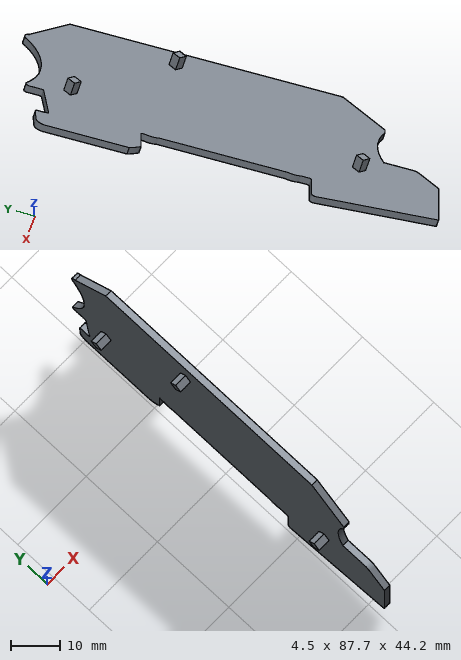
import cadquery as cq

length = 87.7
height = 44.2
plate_thickness = 1.6
peg_length = 2.9
peg_diagonal = 2.8

top_front_y = 20.35
top_back_y = 78.2
front_nose_y = 11.4
back_nose_slope_y = 86.8
front_nose_z = height - (top_front_y - front_nose_y)
back_nose_slope_z = height - (back_nose_slope_y - top_back_y)

recess_tip_y = 87.3
recess_top_z = 33.4
recess_bottom_z = 15.6
recess_deep_y = 84.2
recess_mid_z = (recess_top_z + recess_bottom_z) / 2
upper_tip_z = 34.5
lower_tip_y = 87.5
lower_tip_z = 14.9

hook_top_z = 14.4
hook_bottom_z = 5.3
hook_top_y = 83.8
hook_bottom_y = 82.6
foot_top_y = 85.5
foot_bottom_y = 85.3
foot_round_start_y = 65.6
foot_round_mid_y = 64.3
foot_round_mid_z = 0.8
foot_round_end_z = 1.75
foot_corner_radius = 1.9

rail_front_y = 27.0
rail_back_y = 63.1
rail_z = 7.2
bump_width = 2.8
bump_drop = 0.3
back_bump_y = 60.7
front_bump_y = 30.6

front_foot_inner_z = 0.2
front_foot_outer_z = 4.1
front_foot_side_z = 17.0
ledge_z = 21.8
ledge_outer_y = ledge_z - front_foot_side_z
ledge_inner_y = 11.7
ledge_corner_radius = 2.2
front_foot_inner_radius = 0.9

front_recess_top_z = 34.1
front_recess_deep_y = 13.0
front_recess_mid_z = 27.4

small_radius = 0.4

peg_positions = [(55.8, 38.4), (78.1, 16.5), (16.9, 16.5)]


def add_bump(outline, center_y):
    """Continue the rail ceiling toward -Y with one shallow rounded bump."""
    back_y = center_y + bump_width / 2
    front_y = center_y - bump_width / 2
    return (
        outline.lineTo(back_y, rail_z)
        .threePointArc((center_y, rail_z - bump_drop), (front_y, rail_z))
    )


def round_corner(body, y, z, radius):
    """Round the plate edge that runs along X through (y, z)."""
    corner = cq.selectors.NearestToPointSelector((plate_thickness / 2, y, z))
    return body.edges("|X").edges(corner).fillet(radius)


def make_plate():
    outline = (
        cq.Workplane("YZ")
        .moveTo(top_front_y, height)
        .lineTo(top_back_y, height)
        .lineTo(back_nose_slope_y, back_nose_slope_z)
        .threePointArc((length, upper_tip_z), (recess_tip_y, recess_top_z))
        .threePointArc((recess_deep_y, recess_mid_z), (recess_tip_y, recess_bottom_z))
        .threePointArc((lower_tip_y, lower_tip_z), (back_nose_slope_y, hook_top_z))
        .lineTo(hook_top_y, hook_top_z)
        .lineTo(hook_bottom_y, hook_bottom_z)
        .lineTo(foot_top_y, hook_bottom_z)
        .lineTo(foot_bottom_y, 0)
        .lineTo(foot_round_start_y, 0)
        .threePointArc((foot_round_mid_y, foot_round_mid_z), (rail_back_y, foot_round_end_z))
        .lineTo(rail_back_y, rail_z)
    )
    outline = add_bump(outline, back_bump_y)
    outline = add_bump(outline, front_bump_y)
    outline = (
        outline.lineTo(rail_front_y, rail_z)
        .lineTo(rail_front_y, front_foot_inner_z)
        .lineTo(0, front_foot_outer_z)
        .lineTo(0, front_foot_side_z)
        .lineTo(ledge_outer_y, ledge_z)
        .lineTo(ledge_inner_y, ledge_z)
        .threePointArc(
            (front_recess_deep_y, front_recess_mid_z),
            (front_nose_y, front_recess_top_z),
        )
        .lineTo(front_nose_y, front_nose_z)
        .close()
    )
    plate = outline.extrude(plate_thickness)

    rounded_corners = [
        (hook_top_y, hook_top_z, small_radius),
        (hook_bottom_y, hook_bottom_z, small_radius),
        (foot_top_y, hook_bottom_z, small_radius),
        (foot_bottom_y, 0, foot_corner_radius),
        (rail_front_y, rail_z, small_radius),
        (rail_front_y, front_foot_inner_z, front_foot_inner_radius),
        (0, front_foot_outer_z, small_radius),
        (ledge_outer_y, ledge_z, ledge_corner_radius),
    ]
    for y, z, radius in rounded_corners:
        plate = round_corner(plate, y, z, radius)
    return plate


def make_pegs():
    """Square pegs turned onto their corners, on the -X face of the plate."""
    return (
        cq.Workplane("YZ")
        .pushPoints(peg_positions)
        .polygon(4, peg_diagonal)
        .extrude(-peg_length)
    )


result = make_plate().union(make_pegs())